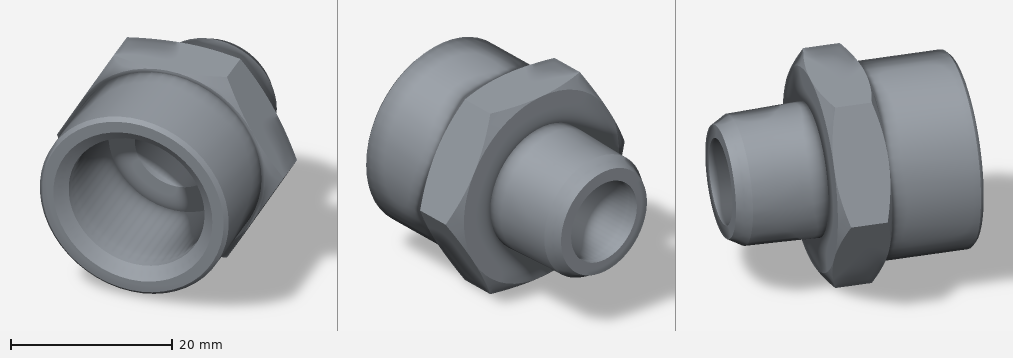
import cadquery as cq
import math

total_length = 30.5
socket_length = 12.0
hex_length = 7.0
hex_across_flats = 26.0
hex_chamfer_angle = 30.0

socket_diameter = 25.0
socket_edge_chamfer = 0.5
bore_diameter = 18.0
bore_mouth_diameter = 21.05
bore_mouth_depth = 1.3
bore_depth = 15.25
passage_diameter = 11.0

spigot_root_diameter = 17.15
spigot_taper = 1 / 16
spigot_tip_diameter = 14.4
spigot_tip_length = 1.9

socket_end = -total_length / 2
hex_start = socket_end + socket_length
hex_end = hex_start + hex_length
spigot_end = total_length / 2
spigot_shoulder = spigot_end - spigot_tip_length
spigot_shoulder_diameter = spigot_root_diameter - spigot_taper * (spigot_shoulder - hex_end)


def revolve_about_y(diameter_stations):
    """Solid of revolution through (diameter, y) pairs, closed along the Y axis."""
    outline = [(diameter / 2, y) for diameter, y in diameter_stations]
    axis_start = (0, outline[0][1])
    axis_end = (0, outline[-1][1])
    profile = cq.Workplane("XY").polyline([axis_start] + outline + [axis_end]).close()
    return profile.revolve(360, (0, 0, 0), (0, 1, 0))


def make_hexagon():
    """Hexagon with corners on X, both ends turned down to a cone."""
    across_corners = hex_across_flats / math.cos(math.radians(30))
    corner_height = (across_corners - hex_across_flats) / 2
    chamfer_depth = corner_height * math.tan(math.radians(hex_chamfer_angle))
    prism = (
        cq.Workplane("XZ", origin=(0, hex_start, 0))
        .polygon(6, across_corners)
        .extrude(-hex_length)
    )
    turned_envelope = revolve_about_y([
        (hex_across_flats, hex_start),
        (across_corners, hex_start + chamfer_depth),
        (across_corners, hex_end - chamfer_depth),
        (hex_across_flats, hex_end),
    ])
    return prism.intersect(turned_envelope)


def make_socket():
    """Wide cylinder with a chamfered outer rim."""
    return revolve_about_y([
        (socket_diameter - 2 * socket_edge_chamfer, socket_end),
        (socket_diameter, socket_end + socket_edge_chamfer),
        (socket_diameter, hex_start),
    ])


def make_spigot():
    """Slightly tapered spigot with a steeper conical tip."""
    return revolve_about_y([
        (spigot_root_diameter, hex_end),
        (spigot_shoulder_diameter, spigot_shoulder),
        (spigot_tip_diameter, spigot_end),
    ])


def make_cavity():
    """Flared, flat-bottomed bore continuing as a narrower through passage."""
    bore_floor = socket_end + bore_depth
    return revolve_about_y([
        (bore_mouth_diameter, socket_end),
        (bore_diameter, socket_end + bore_mouth_depth),
        (bore_diameter, bore_floor),
        (passage_diameter, bore_floor),
        (passage_diameter, spigot_end),
    ])


result = make_hexagon().union(make_socket()).union(make_spigot()).cut(make_cavity())